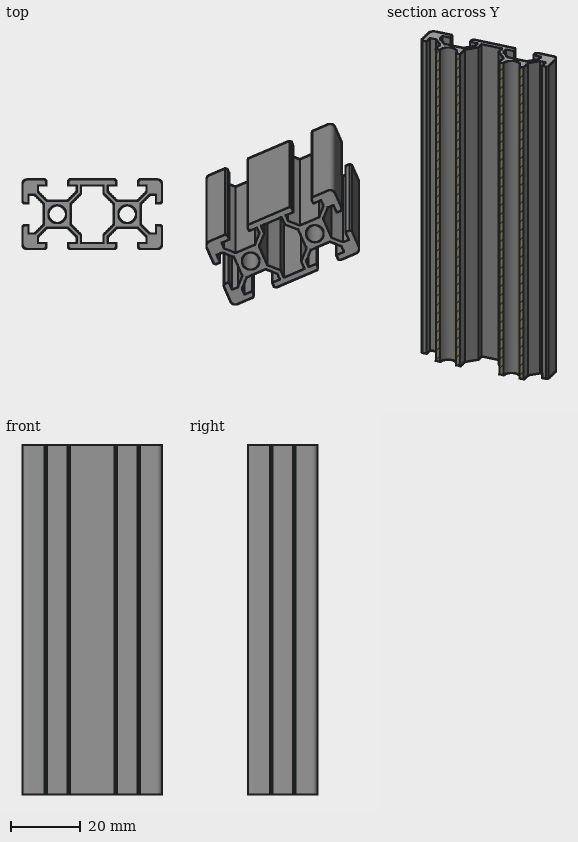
import cadquery as cq

MODULE = 20.0
LENGTH = 100.0
WIDTH = 2 * MODULE
HALF_MODULE = MODULE / 2
CORNER_RADIUS = 1.5

SLOT_OPENING = 6.2
LIP_THICKNESS = 1.8
LIP_CHAMFER = 0.5
UNDERCUT_WIDTH = 11.0
CORE_WIDTH = 7.8
WEB_THICKNESS = 1.3

CHAMBER_WALL = 1.3

CORE_BORE_DIAMETER = 5.0

HALF_OPENING = SLOT_OPENING / 2
HALF_UNDERCUT = UNDERCUT_WIDTH / 2
HALF_CORE = CORE_WIDTH / 2
LIP_UNDERSIDE = HALF_MODULE - LIP_THICKNESS
WEB_OFFSET = WEB_THICKNESS / 2 * 2**0.5

MODULE_CENTRES = [(-HALF_MODULE, 0), (HALF_MODULE, 0)]
SLOTS = [(x, angle) for x, _ in MODULE_CENTRES for angle in (0, 180)]
SLOTS += [(-HALF_MODULE, 90), (HALF_MODULE, -90)]


def make_blank():
    """Full-length bar with rounded outer corners."""
    return cq.Workplane("XY").box(WIDTH, MODULE, LENGTH).edges("|Z").fillet(CORNER_RADIUS)


def mirrored_in_x(points):
    """Points reflected to the opposite X side, in reverse order."""
    return [(-x, y) for x, y in reversed(points)]


def extrude_outline(points):
    """Prism over the full bar length from a closed outline."""
    return cq.Workplane("XY", origin=(0, 0, -LENGTH / 2)).polyline(points).close().extrude(LENGTH)


def make_slot(centre_x, angle):
    """Cutter for one T-slot with a tapered base and a mouth flared by the lip chamfers."""
    right_side = [
        (HALF_CORE - WEB_OFFSET, HALF_CORE),
        (HALF_UNDERCUT, HALF_UNDERCUT + WEB_OFFSET),
        (HALF_UNDERCUT, LIP_UNDERSIDE),
        (HALF_OPENING, LIP_UNDERSIDE),
        (HALF_OPENING, HALF_MODULE - LIP_CHAMFER),
        (HALF_OPENING + LIP_CHAMFER, HALF_MODULE),
    ]
    cutter = extrude_outline(right_side + mirrored_in_x(right_side))
    return cutter.rotate((0, 0, 0), (0, 0, 1), angle).translate((centre_x, 0, 0))


def make_chamber():
    """Cutter for the eight-sided hollow between the two cores."""
    core_face = HALF_MODULE - HALF_CORE
    side_wall = HALF_MODULE - HALF_UNDERCUT - CHAMBER_WALL
    core_end = HALF_CORE - WEB_OFFSET
    web_end = core_end + core_face - side_wall
    quarter = [(core_face, core_end), (side_wall, web_end), (side_wall, LIP_UNDERSIDE)]
    upper = quarter + mirrored_in_x(quarter)
    outline = upper + [(x, -y) for x, y in reversed(upper)]
    return extrude_outline(outline)


def make_core_bores():
    """Cutters for the round bore through each module core."""
    return (
        cq.Workplane("XY", origin=(0, 0, -LENGTH / 2))
        .pushPoints(MODULE_CENTRES)
        .circle(CORE_BORE_DIAMETER / 2)
        .extrude(LENGTH)
    )


profile_bar = make_blank()
for slot_centre, mouth_angle in SLOTS:
    profile_bar = profile_bar.cut(make_slot(slot_centre, mouth_angle))

result = profile_bar.cut(make_chamber()).cut(make_core_bores())